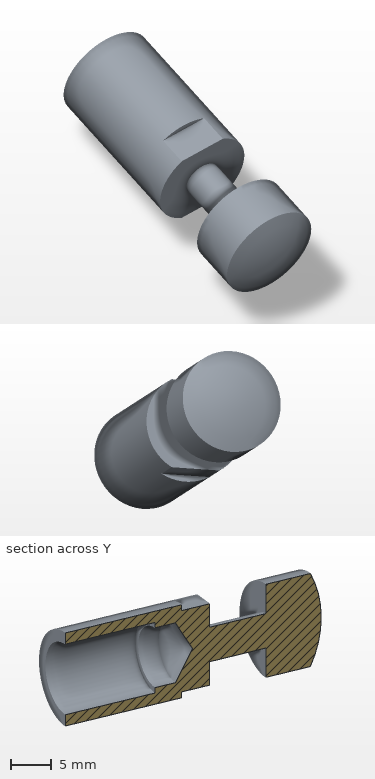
import cadquery as cq
import math

total_length = 36.5
outer_diameter = 12.7
barrel_length = 20.63
head_start = 28.55
dome_height = 1.57
neck_diameter = 4.75

flat_length = 3.98
across_flats = 11.1

bore_diameter = 9.53
bore_depth = 12.78
pilot_diameter = 8.07
pilot_depth = 15.7
drill_point_angle = 118.0

outer_radius = outer_diameter / 2
dome_start = total_length - dome_height
dome_radius = (outer_radius**2 + dome_height**2) / (2 * dome_height)


def make_body():
    """Barrel, neck and domed head revolved about the X axis."""
    neck_radius = neck_diameter / 2
    dome_centre_x = total_length - dome_radius
    half_dome_angle = math.asin(outer_radius / dome_radius) / 2
    dome_middle = (
        dome_centre_x + dome_radius * math.cos(half_dome_angle),
        dome_radius * math.sin(half_dome_angle),
    )
    profile = (
        cq.Workplane("XY")
        .lineTo(0, outer_radius)
        .lineTo(barrel_length, outer_radius)
        .lineTo(barrel_length, neck_radius)
        .lineTo(head_start, neck_radius)
        .lineTo(head_start, outer_radius)
        .lineTo(dome_start, outer_radius)
        .threePointArc(dome_middle, (total_length, 0))
        .close()
    )
    return profile.revolve(360, (0, 0, 0), (1, 0, 0))


def make_bore():
    """Wide bore, narrower pilot hole and conical drill point."""
    bore_radius = bore_diameter / 2
    pilot_radius = pilot_diameter / 2
    point_length = pilot_radius / math.tan(math.radians(drill_point_angle / 2))
    profile = (
        cq.Workplane("XY")
        .lineTo(0, bore_radius)
        .lineTo(bore_depth, bore_radius)
        .lineTo(bore_depth, pilot_radius)
        .lineTo(pilot_depth, pilot_radius)
        .lineTo(pilot_depth + point_length, 0)
        .close()
    )
    return profile.revolve(360, (0, 0, 0), (1, 0, 0))


def make_flat_cut(side):
    """Block that removes the barrel beyond one flat; side is +1 for top, -1 for bottom."""
    cut_height = outer_diameter - across_flats
    centre_z = side * (across_flats + cut_height) / 2
    centre_x = barrel_length - flat_length / 2
    block = cq.Workplane("XY").box(flat_length, outer_diameter, cut_height)
    return block.translate((centre_x, 0, centre_z))


result = make_body().cut(make_bore())
for side in (1, -1):
    result = result.cut(make_flat_cut(side))